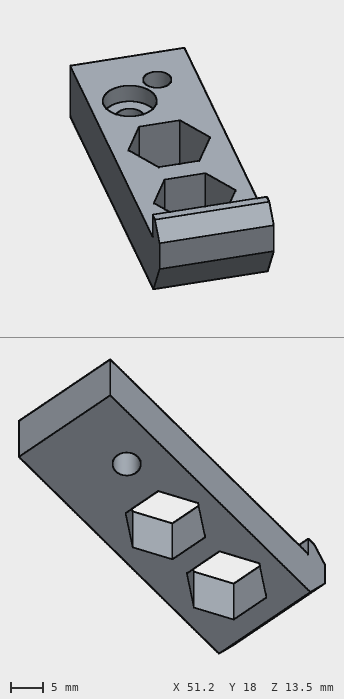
import cadquery as cq
import math

length = 51.2
width = 18.0
height = 13.5

lip_height = 4.1
lip_thickness = 4.0
lip_chamfer = 2.6
undercut_length = 3.55
undercut_angle = 60.0
deck_height = height - lip_height
undercut_height = undercut_length * math.tan(math.radians(undercut_angle))

hex_across_flats = 11.15
hex_across_corners = hex_across_flats / math.cos(math.radians(30))
hex_first_x = 24.0
hex_spacing = 14.6
hex_count = 2

screw_x = 11.45
screw_y = 6.25
screw_diameter = 4.3
counterbore_diameter = 8.2
counterbore_depth = 2.9

blind_x = 7.1
blind_y = 11.8
blind_diameter = 4.3
blind_depth = 5.1


def make_profile_body():
    """Side profile in XZ, extruded across the width."""
    outline = [
        (0, 0),
        (length - undercut_length, 0),
        (length, undercut_height),
        (length, height - lip_chamfer),
        (length - lip_chamfer, height),
        (length - lip_thickness, height),
        (length - lip_thickness, deck_height),
        (0, deck_height),
    ]
    return cq.Workplane("XZ").polyline(outline).close().extrude(-width)


def deck_plane():
    """Workplane on the deck, with its origin above the bar's corner."""
    return cq.Workplane("XY", origin=(0, 0, deck_height))


def make_hex_window(x):
    return (
        deck_plane()
        .center(x, width / 2)
        .transformed(rotate=(0, 0, 90))
        .polygon(6, hex_across_corners)
        .extrude(-deck_height)
    )


def make_screw_hole():
    plane = deck_plane().center(screw_x, screw_y)
    shank = plane.circle(screw_diameter / 2).extrude(-deck_height)
    head = plane.circle(counterbore_diameter / 2).extrude(-counterbore_depth)
    return shank.union(head)


def make_blind_hole():
    return deck_plane().center(blind_x, blind_y).circle(blind_diameter / 2).extrude(-blind_depth)


def make_clamp_bar():
    bar = make_profile_body()
    for index in range(hex_count):
        bar = bar.cut(make_hex_window(hex_first_x + index * hex_spacing))
    return bar.cut(make_screw_hole()).cut(make_blind_hole())


clamp_bar = make_clamp_bar()
result = cq.Compound.makeCompound([clamp_bar.val()])